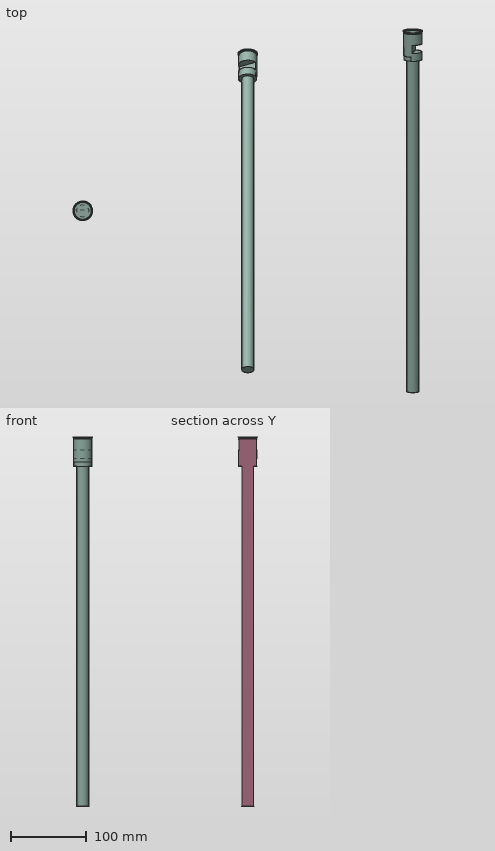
import cadquery as cq

head_radius = 12.25
head_height = 38.5
rim_radius = 13.0

groove_height = 2.2
groove_root_radius = 11.75
groove_root_drop = 1.25

recess_radius = 11.3
recess_depth = 2.0

relief_radius = 11.75
relief_height = 5.5

slot_bottom = 10.5
slot_height = 11.0
slot_floor_y = 1.25

shaft_radius = 8.0
shaft_length = 450.0

rim_diameter = 2 * rim_radius


def make_head():
    """Revolved head with the undercut rim at its top."""
    profile = [
        (0, 0),
        (head_radius, 0),
        (head_radius, head_height - groove_height),
        (groove_root_radius, head_height - groove_root_drop),
        (rim_radius, head_height),
        (0, head_height),
    ]
    return (
        cq.Workplane("XZ")
        .polyline(profile)
        .close()
        .revolve(360, (0, 0, 0), (0, 1, 0))
    )


def make_recess():
    floor_plane = cq.Workplane("XY").workplane(offset=head_height - recess_depth)
    return floor_plane.circle(recess_radius).extrude(recess_depth)


def make_relief():
    """Half ring on the -Y side, outside the relief radius."""
    ring = (
        cq.Workplane("XY")
        .circle(rim_radius)
        .circle(relief_radius)
        .extrude(relief_height)
    )
    front_half = (
        cq.Workplane("XY")
        .box(rim_diameter, rim_radius, relief_height, centered=(True, False, False))
        .translate((0, -rim_radius, 0))
    )
    return ring.intersect(front_half)


def make_slot():
    """Block that removes everything beyond the slot floor in +Y."""
    return (
        cq.Workplane("XY")
        .box(rim_diameter, rim_radius, slot_height, centered=(True, False, False))
        .translate((0, slot_floor_y, slot_bottom))
    )


def make_shaft():
    return cq.Workplane("XY").circle(shaft_radius).extrude(-shaft_length)


head = make_head().cut(make_recess()).cut(make_relief()).cut(make_slot())
result = head.union(make_shaft())